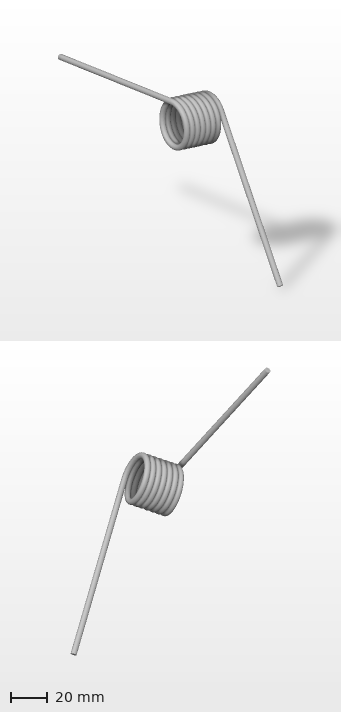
import cadquery as cq
import math

coil_radius = 13.0
full_turns = 7
full_turns_length = 24.0
coil_gap = 0.05
end_angle = 60.0
first_leg_length = 101.4
last_leg_length = 101.7

pitch = full_turns_length / full_turns
wire_diameter = pitch - coil_gap
turns = full_turns + end_angle / 360
coil_length = pitch * turns
lead_angle = math.atan(pitch / (2 * math.pi * coil_radius))


def coil_point(angle):
    """Wire centre at a winding angle in radians, measured from the top toward +X."""
    return cq.Vector(
        coil_radius * math.sin(angle),
        pitch * angle / (2 * math.pi),
        coil_radius * math.cos(angle),
    )


def coil_direction(angle):
    """Unit tangent of the coil, pointing along the winding toward +Y."""
    return cq.Vector(
        math.cos(lead_angle) * math.cos(angle),
        math.sin(lead_angle),
        -math.cos(lead_angle) * math.sin(angle),
    )


def wire_section(point, direction):
    """Round wire section centred on a point and square to the wire."""
    return cq.Workplane(cq.Plane(origin=point, normal=direction)).circle(wire_diameter / 2)


def make_coil():
    """Helical body, starting at the top of the coil and advancing toward +Y."""
    helix = cq.Wire.makeHelix(pitch, coil_length, coil_radius)
    helix = helix.rotate(cq.Vector(), cq.Vector(1, 1, 1), -120)
    return wire_section(coil_point(0), coil_direction(0)).sweep(helix, isFrenet=True)


def make_leg(angle, sense, length):
    """Straight leg tangent to the coil; sense is +1 along the winding, -1 against it."""
    direction = coil_direction(angle) * sense
    return wire_section(coil_point(angle), direction).extrude(length)


coil = make_coil()
first_leg = make_leg(0, -1, first_leg_length)
last_leg = make_leg(2 * math.pi * turns, 1, last_leg_length)
result = coil.union(first_leg).union(last_leg)